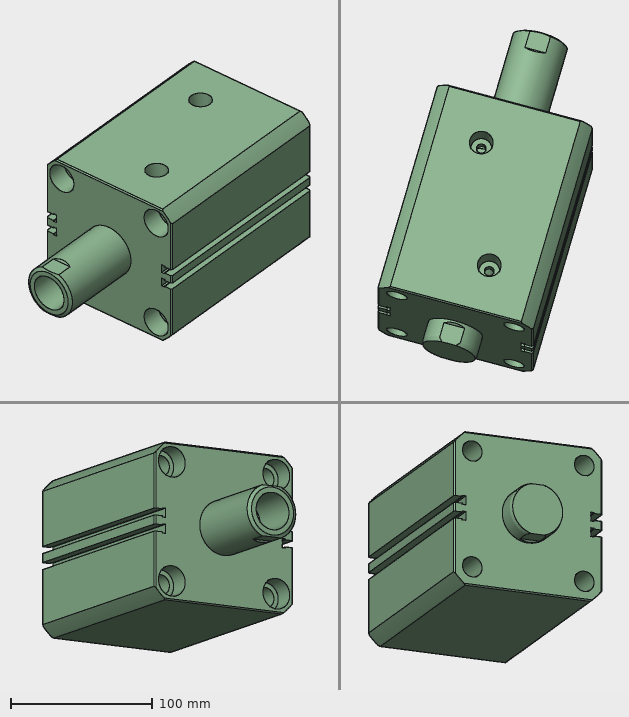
import cadquery as cq
import math


BODY_SIDE = 114.0
BODY_LENGTH = 156.0
BODY_CORNER_RADIUS = 74.6
BODY_END_CHAMFER = 1.0

BOLT_PITCH = 86.0
BOLT_DIAMETER = 15.0
COUNTERBORE_DIAMETER = 22.0
COUNTERBORE_DEPTH = 16.0

SLOT_PITCH = 11.6
SLOT_MOUTH_WIDTH = 5.1
SLOT_MOUTH_DEPTH = 6.5
SLOT_HEAD_WIDTH = 6.5
SLOT_DEPTH = 9.0

PORT_X = 15.0
PORT_END_DISTANCE = 35.0
PORT_MOUTH_DIAMETER = 16.7
PORT_FLOOR_DIAMETER = 14.8
PORT_DEPTH = 14.0
OIL_HOLE_DIAMETER = 6.8

ROD_DIAMETER = 40.0
ROD_REAR_REACH = 17.0
STROKE = 50.0
ROD_FRONT_REACH = ROD_REAR_REACH + STROKE
FRONT_CHAMFER_LENGTH = 1.5
FRONT_CHAMFER_DROP = 2.7
REAR_CHAMFER_LENGTH = 3.0
REAR_CHAMFER_DROP = REAR_CHAMFER_LENGTH * math.tan(math.radians(15))
FLAT_WIDTH = 37.0
FLAT_LENGTH = 14.0
ROD_HOLE_DIAMETER = 27.0
ROD_HOLE_DEPTH = 40.0
DRILL_POINT_ANGLE = 118.0

BORE_DIAMETER = 80.0
CHAMBER_END_WALL = 30.0
CHAMBER_LENGTH = BODY_LENGTH - 2 * CHAMBER_END_WALL
PISTON_LENGTH = CHAMBER_LENGTH - STROKE
GROOVE_START = 3.1
GROOVE_WIDTH = 4.4
GROOVE_DEPTH = 0.5


def rod_cylinder(diameter, start, length):
    """Cylinder about the rod axis from Y = start toward +Y."""
    base = cq.Workplane("XZ", origin=(0, start, 0))
    return base.circle(diameter / 2).extrude(-length)


def t_slot(z):
    """Mouth and head of a slot in the +X face at height z, running the housing's full length."""
    face_x = BODY_SIDE / 2
    mouth = cq.Workplane("XY").box(SLOT_DEPTH, BODY_LENGTH, SLOT_MOUTH_WIDTH, centered=(False, False, True))
    head_depth = SLOT_DEPTH - SLOT_MOUTH_DEPTH
    head = cq.Workplane("XY").box(head_depth, BODY_LENGTH, SLOT_HEAD_WIDTH, centered=(False, False, True))
    return mouth.union(head).translate((face_x - SLOT_DEPTH, 0, z))


def oil_port(x, y):
    """Port that tapers from its mouth to its floor, with an oil hole on down to the rod axis."""
    top = cq.Workplane("XY", origin=(x, y, BODY_SIDE / 2))
    taper = math.degrees(math.atan((PORT_MOUTH_DIAMETER - PORT_FLOOR_DIAMETER) / 2 / PORT_DEPTH))
    port = top.circle(PORT_MOUTH_DIAMETER / 2).extrude(-PORT_DEPTH, taper=taper)
    oil_hole = top.circle(OIL_HOLE_DIAMETER / 2).extrude(-BODY_SIDE / 2)
    return port.union(oil_hole)


def make_housing():
    block = cq.Workplane("XY").box(BODY_SIDE, BODY_LENGTH, BODY_SIDE, centered=(True, False, True))
    block = block.faces("<Y or >Y").chamfer(BODY_END_CHAMFER)
    block = block.intersect(rod_cylinder(2 * BODY_CORNER_RADIUS, 0, BODY_LENGTH))

    bolts = cq.Workplane("XZ").rect(BOLT_PITCH, BOLT_PITCH, forConstruction=True).vertices()
    block = block.cut(bolts.circle(BOLT_DIAMETER / 2).extrude(-BODY_LENGTH))
    block = block.cut(bolts.circle(COUNTERBORE_DIAMETER / 2).extrude(-COUNTERBORE_DEPTH))

    for z in (-SLOT_PITCH / 2, SLOT_PITCH / 2):
        slot = t_slot(z)
        block = block.cut(slot).cut(slot.mirror("YZ"))

    block = block.cut(oil_port(PORT_X, PORT_END_DISTANCE))
    block = block.cut(oil_port(-PORT_X, BODY_LENGTH - PORT_END_DISTANCE))
    block = block.cut(rod_cylinder(ROD_DIAMETER, 0, BODY_LENGTH))
    return block.cut(rod_cylinder(BORE_DIAMETER, CHAMBER_END_WALL, CHAMBER_LENGTH))


def wrench_flat(end_y, inward):
    """Material above the upper flat at one rod end, with a 45 degree run-out; inward is +1 or -1 along Y."""
    flat_z = FLAT_WIDTH / 2
    rise = ROD_DIAMETER / 2 - flat_z
    return (
        cq.Workplane("YZ")
        .moveTo(end_y, flat_z)
        .lineTo(end_y + inward * FLAT_LENGTH, flat_z)
        .lineTo(end_y + inward * (FLAT_LENGTH + rise), flat_z + rise)
        .lineTo(end_y, flat_z + rise)
        .close()
        .extrude(ROD_DIAMETER / 2, both=True)
    )


def make_rod():
    radius = ROD_DIAMETER / 2
    hole_radius = ROD_HOLE_DIAMETER / 2
    front = -ROD_FRONT_REACH
    rear = BODY_LENGTH + ROD_REAR_REACH
    hole_bottom = front + ROD_HOLE_DEPTH
    drill_tip = hole_bottom + hole_radius / math.tan(math.radians(DRILL_POINT_ANGLE / 2))
    rod = (
        cq.Workplane("XY")
        .moveTo(hole_radius, front)
        .lineTo(radius - FRONT_CHAMFER_DROP, front)
        .lineTo(radius, front + FRONT_CHAMFER_LENGTH)
        .lineTo(radius, rear - REAR_CHAMFER_LENGTH)
        .lineTo(radius - REAR_CHAMFER_DROP, rear)
        .lineTo(0, rear)
        .lineTo(0, drill_tip)
        .lineTo(hole_radius, hole_bottom)
        .close()
        .revolve(360, (0, 0), (0, 1))
    )
    for end_y, inward in ((front, 1), (rear, -1)):
        flat = wrench_flat(end_y, inward)
        rod = rod.cut(flat).cut(flat.mirror("XY"))
    return rod


def make_piston():
    front = CHAMBER_END_WALL
    groove_front = front + GROOVE_START
    disc = rod_cylinder(BORE_DIAMETER, front, PISTON_LENGTH)
    groove_ring = rod_cylinder(BORE_DIAMETER, groove_front, GROOVE_WIDTH)
    groove_floor = rod_cylinder(BORE_DIAMETER - 2 * GROOVE_DEPTH, groove_front, GROOVE_WIDTH)
    disc = disc.cut(groove_ring.cut(groove_floor))
    return disc.cut(rod_cylinder(ROD_DIAMETER, front, PISTON_LENGTH))


housing = make_housing()
rod = make_rod()
piston = make_piston()

result = cq.Compound.makeCompound([housing.val(), rod.val(), piston.val()])